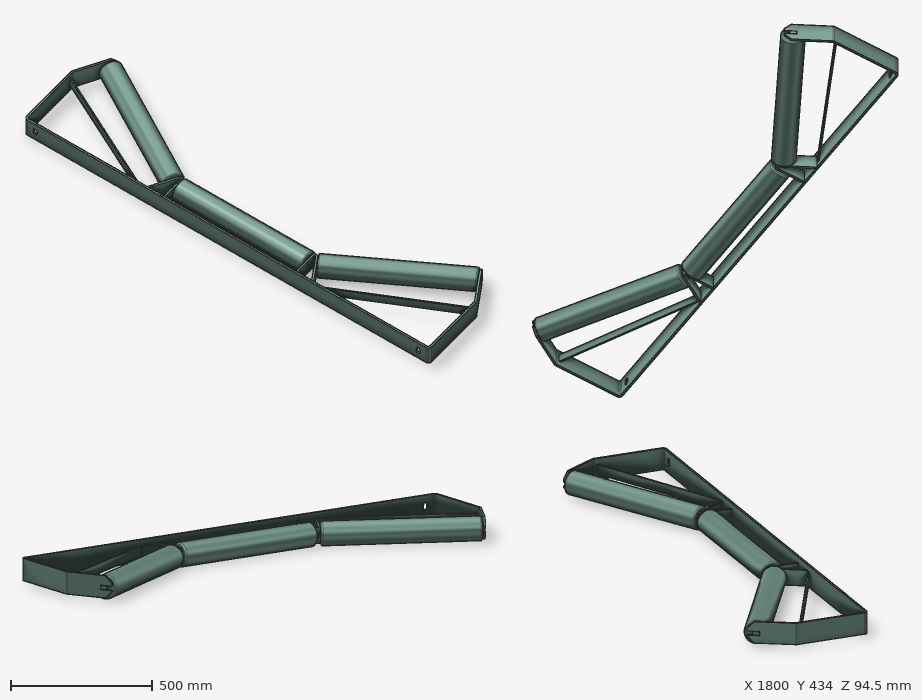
import cadquery as cq
import math


span = 1800.0
strip = 8.0
frame_height = 81.0
knee_y = 279.0
wing_length = 176.0
corner_radius = 15.0
knee_radius = 10.0
tip_chamfer = 25.0
mount_x = 851.0
mount_width = 18.0
mount_length = 29.0

wing_angle = 30.0
roller_diameter = 88.0
roller_length = 572.0
roller_fillet = 5.0
shaft_diameter = 25.0
shaft_flats = 13.0
end_gap = 4.0
centre_roller_y = 100.0
inner_axis_z = -10.0
outer_axis_z = -4.0
wing_shaft_rise = 144.0
slot_height = 16.0

bracket_top_y = 130.0
bracket_corner_radius = 9.0

strut_thickness = 5.0
strut_height = 36.0
strut_leg_y = 266.0
strut_bar_x = 383.0

half_span = span / 2
roller_radius = roller_diameter / 2
shaft_radius = shaft_diameter / 2
shaft_length = roller_length + 2 * (end_gap + strip)
slot_reach = 2 * shaft_diameter + strip
bracket_height = frame_height + 2 * inner_axis_z
wing_slope = math.radians(wing_angle)
wing_tilt = math.degrees(math.asin((outer_axis_z - inner_axis_z) / roller_length))


def step(point, along, up):
    """Move a point along the left wing roller's axis (inwards) and up its wing plate."""
    x, y = point
    return (
        x + along * math.cos(wing_slope) + up * math.sin(wing_slope),
        y - along * math.sin(wing_slope) + up * math.cos(wing_slope),
    )


knee = (-half_span, knee_y)
wing_tip = step(knee, 0, wing_length)
wing_shaft_outer = step(knee, 0, wing_shaft_rise)
wing_shaft_inner = step(wing_shaft_outer, shaft_length, 0)


def plate(points, height, middle_z=0.0):
    """A flat outline in XY, extruded along Z about its middle height."""
    base = cq.Workplane("XY", origin=(0, 0, middle_z - height / 2))
    return base.polyline(points).close().extrude(height)


def edge_near(x, y, z=0.0):
    return cq.selectors.NearestToPointSelector((x, y, z))


def open_slot(shaft_end, angle, axis_z):
    """Cutter for a slot that holds a shaft end and runs out through the plate's free edge."""
    cutter = cq.Workplane("XY").box(4 * strip, slot_reach, slot_height, centered=(True, False, True))
    cutter = cutter.translate((0, -shaft_radius, 0)).rotate((0, 0, 0), (0, 0, 1), angle)
    return cutter.translate((*shaft_end, axis_z))


def make_frame():
    inner_x = -half_span + strip
    inner_knee_y = knee_y - strip * math.tan(wing_slope / 2)
    left = plate(
        [
            (0, 0),
            (-half_span, 0),
            knee,
            wing_tip,
            step(wing_tip, strip, 0),
            (inner_x, inner_knee_y),
            (inner_x, strip),
            (0, strip),
        ],
        frame_height,
    )

    left = left.edges(edge_near(-half_span, 0)).fillet(corner_radius)
    left = left.edges(edge_near(inner_x, strip)).fillet(corner_radius - strip)
    left = left.edges(edge_near(*knee)).fillet(knee_radius)
    left = left.edges(edge_near(inner_x, inner_knee_y)).fillet(knee_radius - strip)

    tip_middle = step(wing_tip, strip / 2, 0)
    for z in (-frame_height / 2, frame_height / 2):
        left = left.edges(edge_near(*tip_middle, z)).chamfer(tip_chamfer)
    left = left.cut(open_slot(wing_shaft_outer, -wing_angle, outer_axis_z))

    mount = cq.Workplane("XZ").center(-mount_x, 0).slot2D(mount_length, mount_width, 90).extrude(-strip)
    left = left.cut(mount)
    return left.union(left.mirror("YZ")).clean()


def make_roller():
    """A roller along X, centred on the origin, with a flatted shaft through it."""
    tube = cq.Workplane("YZ", origin=(-roller_length / 2, 0, 0)).circle(roller_radius).extrude(roller_length)
    tube = tube.edges().fillet(roller_fillet)
    shaft = cq.Workplane("YZ", origin=(-shaft_length / 2, 0, 0)).circle(shaft_radius).extrude(shaft_length)
    flats = cq.Workplane("XY").box(shaft_length, shaft_diameter, shaft_flats)
    return tube.union(shaft.intersect(flats))


def make_centre_roller():
    return make_roller().translate((0, centre_roller_y, inner_axis_z))


def make_wing_roller():
    """The left wing roller: its inner end is lower than its outer end."""
    middle = step(wing_shaft_outer, shaft_length / 2, 0)
    tilted = make_roller().rotate((0, 0, 0), (0, 1, 0), wing_tilt)
    turned = tilted.rotate((0, 0, 0), (0, 0, 1), -wing_angle)
    return turned.translate((*middle, (outer_axis_z + inner_axis_z) / 2))


def make_bracket():
    """The left inner bracket: a sloping leg and an upright leg joined by a short top."""
    upright_right = -roller_length / 2 - end_gap
    upright_left = upright_right - strip
    under_top_y = bracket_top_y - strip

    def sloping_face(y, depth):
        """Point at height y on the sloping leg, at a depth below its roller-side face."""
        x0, y0 = step(wing_shaft_inner, depth - strip, 0)
        return (x0 + (y - y0) * math.tan(wing_slope), y)

    bracket = plate(
        [
            sloping_face(strip, 0),
            sloping_face(bracket_top_y, 0),
            (upright_right, bracket_top_y),
            (upright_right, strip),
            (upright_left, strip),
            (upright_left, under_top_y),
            sloping_face(under_top_y, strip),
            sloping_face(strip, strip),
        ],
        bracket_height,
        inner_axis_z,
    )
    corner = edge_near(upright_right, bracket_top_y, inner_axis_z)
    bracket = bracket.edges(corner).fillet(bracket_corner_radius)
    bracket = bracket.cut(open_slot(wing_shaft_inner, -wing_angle, inner_axis_z))
    return bracket.cut(open_slot((upright_left, centre_roller_y), 0, inner_axis_z))


def make_strut():
    """The left strut: a thin flat bar from the leg down to the frame bar."""
    leg_x = -half_span + strip
    slope = math.atan2(strut_leg_y - strip, half_span - strip - strut_bar_x)
    return plate(
        [
            (leg_x, strut_leg_y),
            (-strut_bar_x, strip),
            (-strut_bar_x - strut_thickness / math.sin(slope), strip),
            (leg_x, strut_leg_y - strut_thickness / math.cos(slope)),
        ],
        strut_height,
    )


frame = make_frame()
centre_roller = make_centre_roller()
bodies = [*frame.solids().vals(), *centre_roller.solids().vals()]
for make_side_part in (make_wing_roller, make_bracket, make_strut):
    left_part = make_side_part()
    for side_part in (left_part, left_part.mirror("YZ")):
        bodies.extend(side_part.solids().vals())

result = cq.Compound.makeCompound(bodies)